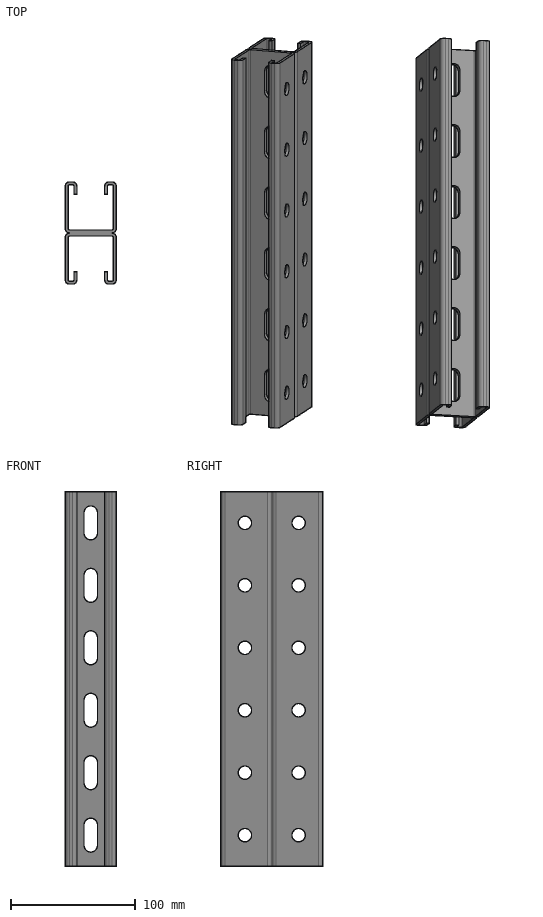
import cadquery as cq

WIDTH = 41.0
DEPTH = 41.0
LENGTH = 300.0
THICKNESS = 2.5
LIP_OPENING = 22.0
LIP_DEPTH = 10.0
BEND_INNER = 1.0
BEND_OUTER = BEND_INNER + THICKNESS

PITCH = 50.0
PERFORATIONS = 6
FIRST_HEIGHT = (LENGTH - (PERFORATIONS - 1) * PITCH) / 2
HOLE_DIAMETER = 10.5
HOLE_OFFSET = 21.5
SLOT_WIDTH = 10.5
SLOT_LENGTH = 27.0

HALF_WIDTH = WIDTH / 2
HALF_OPENING = LIP_OPENING / 2
HEIGHTS = [FIRST_HEIGHT + i * PITCH for i in range(PERFORATIONS)]


def round_edges(body, corners, radius):
    """Round the lengthwise edges of the body that pass through the given (x, y) corners."""
    for x, y in corners:
        edge = cq.selectors.NearestToPointSelector((x, y, LENGTH / 2))
        body = body.edges("|Z").edges(edge).fillet(radius)
    return body


def half_channel():
    """The +X half of a channel: half the back, a side wall, a flange and a lip."""
    inner_wall = HALF_WIDTH - THICKNESS
    inner_lip = HALF_OPENING + THICKNESS
    inner_flange = DEPTH - THICKNESS
    lip_end = DEPTH - LIP_DEPTH
    outer_corners = [(HALF_WIDTH, 0), (HALF_WIDTH, DEPTH), (HALF_OPENING, DEPTH)]
    inner_corners = [(inner_lip, inner_flange), (inner_wall, inner_flange), (inner_wall, THICKNESS)]
    lip_edge = [(HALF_OPENING, lip_end), (inner_lip, lip_end)]

    outline = [(0, 0), *outer_corners, *lip_edge, *inner_corners, (0, THICKNESS)]
    body = cq.Workplane("XY").polyline(outline).close().extrude(LENGTH)
    body = round_edges(body, inner_corners, BEND_INNER)
    return round_edges(body, outer_corners, BEND_OUTER)


def channel():
    """Lipped channel with its back on Y = 0 and its open side toward +Y."""
    half = half_channel()
    return half.union(half.mirror("YZ")).clean()


def side_holes(side):
    """Round holes through both side walls of the channel on the given Y side."""
    centers = [(side * HOLE_OFFSET, height) for height in HEIGHTS]
    return (
        cq.Workplane("YZ")
        .pushPoints(centers)
        .circle(HOLE_DIAMETER / 2)
        .extrude(HALF_WIDTH, both=True)
    )


def web_slots():
    """Lengthwise slots through the doubled web."""
    centers = [(0, height) for height in HEIGHTS]
    return (
        cq.Workplane("XZ")
        .pushPoints(centers)
        .slot2D(SLOT_LENGTH, SLOT_WIDTH, 90)
        .extrude(2 * THICKNESS, both=True)
    )


upper = channel()
result = upper.union(upper.mirror("XZ"))
for side in (-1, 1):
    result = result.cut(side_holes(side))
result = result.cut(web_slots())